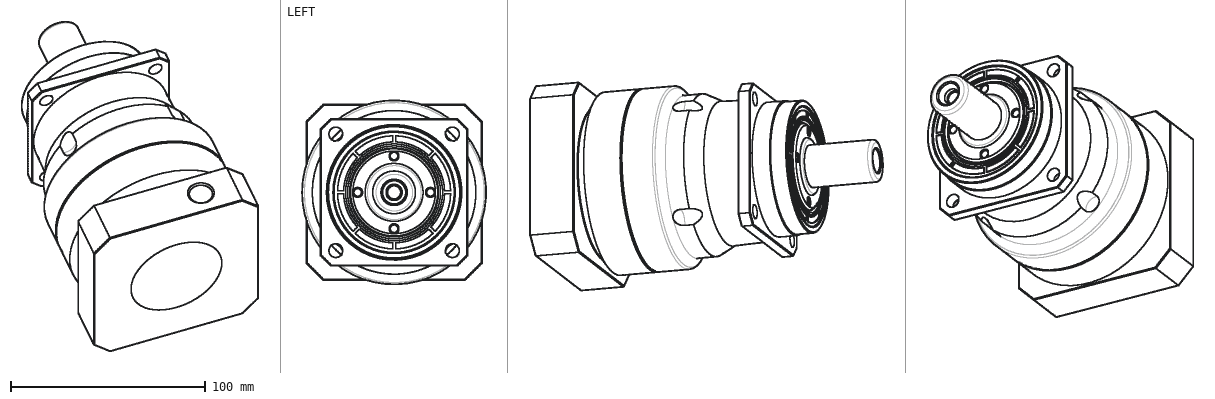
import cadquery as cq
import math


BOSS_FRONT = 35.8
DISC_FRONT = 37.0
HOUSING_FRONT = 37.5
PILOT_STEP = 46.4
FLANGE_FRONT = 56.2
FLANGE_BACK = 62.8
NECK_END = 81.6
CONE_END = 91.0
FILLET_START = 101.0
CASE_JOINT = 123.3
REAR_CONE_START = 143.5
REAR_CONE_END = 149.1
PLATE_FRONT = 149.6
PLATE_BACK = 173.6
POCKET_FLOOR = 43.4

SHAFT_DIAMETER = 22.0
SHAFT_TIP_ROUND = 1.5
BOSS_DIAMETER = 29.9
BOSS_ROUND = 1.0
DISC_DIAMETER = 45.0
DISC_CHAMFER = 1.2

CENTRE_RIM_DIAMETER = 13.5
CENTRE_CONE_DIAMETER = 12.0
CENTRE_RELIEF_DIAMETER = 8.3
CENTRE_CORE_DIAMETER = 6.8
CENTRE_RIM_DEPTH = 0.5
CENTRE_CONE_DEPTH = 3.6
CENTRE_RELIEF_DEPTH = 6.0
CENTRE_CORE_DEPTH = 17.4

DISC_HOLE_COUNT = 4
DISC_HOLE_CIRCLE_RADIUS = 18.7
DISC_HOLE_DIAMETER = 4.0
DISC_HOLE_RIM_DIAMETER = 5.0
DISC_HOLE_DEPTH = 5.2
DRILL_POINT_HALF_ANGLE = 59.0

SEAL_DIAMETER = 62.0
SEAL_FRONT = 37.7
SEAL_LIP_RADIUS = 24.0
SEAL_GROOVE_RADIUS = 23.0
SEAL_GROOVE_FLOOR = 38.9
SEAL_LIP_BEVEL = 0.9
SEAL_FACE_RADIUS = 25.0
PANEL_COUNT = 8
PANEL_INNER_RADIUS = 26.0
PANEL_OUTER_RADIUS = 29.2
PANEL_GAP = 1.5
PANEL_DEPTH = 0.5

PILOT_RADIUS = 34.4
PILOT_BACK_RADIUS = 34.9
PILOT_CHAMFER = 0.5
PILOT_STEP_CHAMFER = 0.3
POCKET_CHAMFER = 0.5
NECK_RADIUS = 37.0
NECK_MIDDLE_RADIUS = 37.2
NECK_END_RADIUS = 37.5
WAIST_RADIUS = 42.2
BODY_DIAMETER = 95.0
BODY_RADIUS = BODY_DIAMETER / 2
WAIST_FILLET = 4.2
BODY_EDGE_ROUND = 1.0
JOINT_CHAMFER = 0.5
REAR_CONE_END_RADIUS = 40.0

EDGE_CHAMFER = 0.43

FLANGE_WIDTH = 75.9
FLANGE_CORNER_CHAMFER = 5.4
FLANGE_HOLE_OFFSET = 30.0
FLANGE_HOLE_DIAMETER = 7.1

SCREW_POCKET_DIAMETER = 12.0
SCREW_POCKET_AXIS_RADIUS = 45.5
SCREW_POCKET_BALL_X = 95.8

PLATE_WIDTH = 90.6
PLATE_CORNER_CHAMFER = 8.9
HUB_DIAMETER = 50.0
ACCESS_HOLE_X = 161.5
ACCESS_HOLE_Y = 18.0
ACCESS_HOLE_DIAMETER = 12.0
ACCESS_HOLE_CHAMFER = 0.9


def turned(outline):
    """Revolve a closed outline of (x, radius) points about the X axis."""
    return outline.close().revolve(360, (0, 0, 0), (1, 0, 0))


def cylinder(x_start, x_end, radius, y=0.0, z=0.0):
    """Cylinder along X, its axis at (y, z)."""
    length = x_end - x_start
    return cq.Workplane("YZ", origin=(x_start, y, z)).circle(radius).extrude(length)


def square_plate(x_start, x_end, width, corner_chamfer):
    """Square plate across X with cut corners and a small bevel around both faces."""
    plate = cq.Workplane("YZ", origin=(x_start, 0, 0)).rect(width, width).extrude(x_end - x_start)
    plate = plate.edges("|X").chamfer(corner_chamfer)
    return plate.faces("<X or >X").chamfer(EDGE_CHAMFER)


def drill_point_length(radius):
    return radius / math.tan(math.radians(DRILL_POINT_HALF_ANGLE))


def centre_hole():
    core_radius = CENTRE_CORE_DIAMETER / 2
    return turned(
        cq.Workplane("XY")
        .moveTo(0, 0)
        .lineTo(0, CENTRE_RIM_DIAMETER / 2)
        .lineTo(CENTRE_RIM_DEPTH, CENTRE_CONE_DIAMETER / 2)
        .lineTo(CENTRE_CONE_DEPTH, CENTRE_RELIEF_DIAMETER / 2)
        .lineTo(CENTRE_RELIEF_DEPTH, CENTRE_RELIEF_DIAMETER / 2)
        .lineTo(CENTRE_RELIEF_DEPTH, core_radius)
        .lineTo(CENTRE_CORE_DEPTH, core_radius)
        .lineTo(CENTRE_CORE_DEPTH + drill_point_length(core_radius), 0)
    )


def disc_hole():
    """Countersunk drilled hole on the X axis, to be moved onto its hole circle."""
    radius = DISC_HOLE_DIAMETER / 2
    rim_radius = DISC_HOLE_RIM_DIAMETER / 2
    bottom = DISC_FRONT + DISC_HOLE_DEPTH
    return turned(
        cq.Workplane("XY")
        .moveTo(DISC_FRONT, 0)
        .lineTo(DISC_FRONT, rim_radius)
        .lineTo(DISC_FRONT + rim_radius - radius, radius)
        .lineTo(bottom, radius)
        .lineTo(bottom + drill_point_length(radius), 0)
    )


def make_output_shaft():
    shaft_radius = SHAFT_DIAMETER / 2
    boss_radius = BOSS_DIAMETER / 2
    disc_radius = DISC_DIAMETER / 2
    shaft = turned(
        cq.Workplane("XY")
        .moveTo(0, 0)
        .lineTo(0, shaft_radius - SHAFT_TIP_ROUND)
        .radiusArc((SHAFT_TIP_ROUND, shaft_radius), SHAFT_TIP_ROUND)
        .lineTo(BOSS_FRONT, shaft_radius)
        .lineTo(BOSS_FRONT, boss_radius - BOSS_ROUND)
        .radiusArc((BOSS_FRONT + BOSS_ROUND, boss_radius), BOSS_ROUND)
        .lineTo(DISC_FRONT, boss_radius)
        .lineTo(DISC_FRONT, disc_radius - DISC_CHAMFER)
        .lineTo(DISC_FRONT + DISC_CHAMFER, disc_radius)
        .lineTo(POCKET_FLOOR, disc_radius)
        .lineTo(POCKET_FLOOR, 0)
    )
    shaft = shaft.cut(centre_hole())
    hole = disc_hole().translate((0, 0, DISC_HOLE_CIRCLE_RADIUS))
    for i in range(DISC_HOLE_COUNT):
        shaft = shaft.cut(hole.rotate((0, 0, 0), (1, 0, 0), i * 360 / DISC_HOLE_COUNT))
    return shaft


def seal_panels():
    """Shallow ring of sectors, kept apart by radial bars of even width."""
    panel_back = SEAL_FRONT + PANEL_DEPTH
    ring = cylinder(SEAL_FRONT, panel_back, PANEL_OUTER_RADIUS)
    ring = ring.cut(cylinder(SEAL_FRONT, panel_back, PANEL_INNER_RADIUS))
    bar = (
        cq.Workplane("YZ", origin=(SEAL_FRONT, 0, 0))
        .rect(PANEL_GAP, 2 * SEAL_DIAMETER)
        .extrude(PANEL_DEPTH)
    )
    for i in range(PANEL_COUNT // 2):
        ring = ring.cut(bar.rotate((0, 0, 0), (1, 0, 0), i * 360 / PANEL_COUNT))
    return ring


def make_seal_cover():
    bore_radius = DISC_DIAMETER / 2
    outer_radius = SEAL_DIAMETER / 2
    cover = turned(
        cq.Workplane("XY")
        .moveTo(POCKET_FLOOR, bore_radius)
        .lineTo(SEAL_GROOVE_FLOOR, bore_radius)
        .lineTo(SEAL_GROOVE_FLOOR, SEAL_GROOVE_RADIUS)
        .lineTo(SEAL_FRONT, SEAL_LIP_RADIUS)
        .lineTo(SEAL_FRONT + SEAL_LIP_BEVEL, SEAL_FACE_RADIUS)
        .lineTo(SEAL_FRONT, SEAL_FACE_RADIUS)
        .lineTo(SEAL_FRONT, outer_radius)
        .lineTo(POCKET_FLOOR, outer_radius)
    )
    return cover.cut(seal_panels())


def screw_pocket(y, z):
    """Round-bottomed pocket that starts behind the flange and ends in a ball."""
    radius = SCREW_POCKET_DIAMETER / 2
    ball = cq.Workplane("XY").sphere(radius).translate((SCREW_POCKET_BALL_X, y, z))
    return cylinder(FLANGE_BACK, SCREW_POCKET_BALL_X, radius, y, z).union(ball)


def make_housing():
    pocket_radius = SEAL_DIAMETER / 2
    fillet_end = FILLET_START + WAIST_FILLET
    housing = turned(
        cq.Workplane("XY")
        .moveTo(POCKET_FLOOR, 0)
        .lineTo(POCKET_FLOOR, pocket_radius)
        .lineTo(HOUSING_FRONT + POCKET_CHAMFER, pocket_radius)
        .lineTo(HOUSING_FRONT, pocket_radius + POCKET_CHAMFER)
        .lineTo(HOUSING_FRONT, PILOT_RADIUS - PILOT_CHAMFER)
        .lineTo(HOUSING_FRONT + PILOT_CHAMFER, PILOT_RADIUS)
        .lineTo(PILOT_STEP, PILOT_RADIUS)
        .lineTo(PILOT_STEP + PILOT_STEP_CHAMFER, PILOT_BACK_RADIUS)
        .lineTo(FLANGE_FRONT, PILOT_BACK_RADIUS)
        .lineTo(FLANGE_BACK, NECK_RADIUS)
        .threePointArc(((FLANGE_BACK + NECK_END) / 2, NECK_MIDDLE_RADIUS), (NECK_END, NECK_END_RADIUS))
        .lineTo(CONE_END, WAIST_RADIUS)
        .lineTo(FILLET_START, WAIST_RADIUS)
        .radiusArc((fillet_end, WAIST_RADIUS + WAIST_FILLET), -WAIST_FILLET)
        .lineTo(fillet_end, BODY_RADIUS - BODY_EDGE_ROUND)
        .radiusArc((fillet_end + BODY_EDGE_ROUND, BODY_RADIUS), BODY_EDGE_ROUND)
        .lineTo(CASE_JOINT - JOINT_CHAMFER, BODY_RADIUS)
        .lineTo(CASE_JOINT, BODY_RADIUS - JOINT_CHAMFER)
        .lineTo(CASE_JOINT, 0)
    )
    flange = square_plate(FLANGE_FRONT, FLANGE_BACK, FLANGE_WIDTH, FLANGE_CORNER_CHAMFER)
    housing = housing.union(flange)
    pocket_offset = SCREW_POCKET_AXIS_RADIUS / math.sqrt(2)
    for side_y in (-1, 1):
        for side_z in (-1, 1):
            hole_y = side_y * FLANGE_HOLE_OFFSET
            hole_z = side_z * FLANGE_HOLE_OFFSET
            housing = housing.cut(
                cylinder(FLANGE_FRONT, FLANGE_BACK, FLANGE_HOLE_DIAMETER / 2, hole_y, hole_z)
            )
            housing = housing.cut(screw_pocket(side_y * pocket_offset, side_z * pocket_offset))
    return housing


def make_rear_case():
    return turned(
        cq.Workplane("XY")
        .moveTo(CASE_JOINT, 0)
        .lineTo(CASE_JOINT, BODY_RADIUS - JOINT_CHAMFER)
        .lineTo(CASE_JOINT + JOINT_CHAMFER, BODY_RADIUS)
        .lineTo(REAR_CONE_START, BODY_RADIUS)
        .lineTo(REAR_CONE_END, REAR_CONE_END_RADIUS)
        .lineTo(PLATE_FRONT, REAR_CONE_END_RADIUS)
        .lineTo(PLATE_FRONT, 0)
    )


def access_hole():
    """Chamfered hole from the top side of the motor plate down to the hub."""
    radius = ACCESS_HOLE_DIAMETER / 2
    top = PLATE_WIDTH / 2
    hole = cq.Workplane("XY", origin=(ACCESS_HOLE_X, ACCESS_HOLE_Y, 0)).circle(radius).extrude(top)
    mouth = (
        cq.Workplane("XY", origin=(ACCESS_HOLE_X, ACCESS_HOLE_Y, top))
        .circle(radius + ACCESS_HOLE_CHAMFER)
        .workplane(offset=-ACCESS_HOLE_CHAMFER)
        .circle(radius)
        .loft()
    )
    return hole.union(mouth)


def make_clamp_hub():
    return cylinder(PLATE_FRONT, PLATE_BACK, HUB_DIAMETER / 2)


def make_motor_plate():
    plate = square_plate(PLATE_FRONT, PLATE_BACK, PLATE_WIDTH, PLATE_CORNER_CHAMFER)
    plate = plate.cut(cylinder(PLATE_FRONT, PLATE_BACK, HUB_DIAMETER / 2))
    return plate.cut(access_hole())


output_shaft = make_output_shaft()
seal_cover = make_seal_cover()
housing = make_housing()
rear_case = make_rear_case()
motor_plate = make_motor_plate()
clamp_hub = make_clamp_hub()

result = cq.Compound.makeCompound([
    output_shaft.val(),
    seal_cover.val(),
    housing.val(),
    rear_case.val(),
    motor_plate.val(),
    clamp_hub.val(),
])